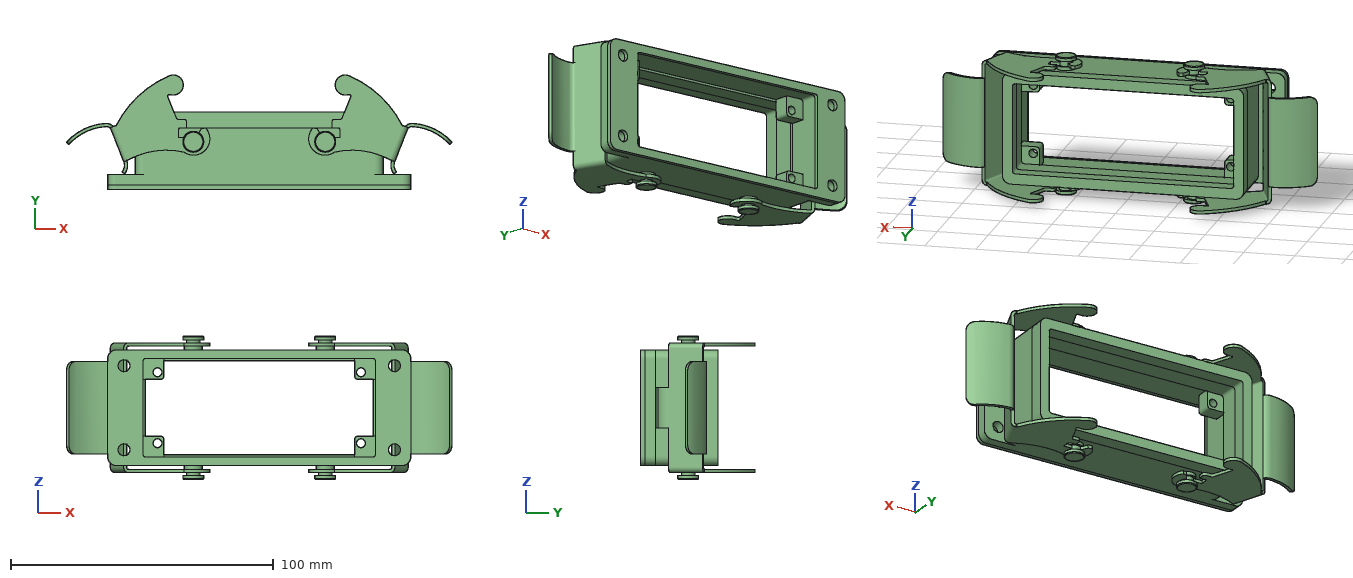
import cadquery as cq
import math


frame_height = 44.0
frame_half = frame_height / 2
flange_length = 115.4
body_length = 94.5
corner_radius = 3.3

gasket_thickness = 1.7
flange_top = 5.8
body_top = 23.5
seal_top = 29.6

wide_opening = (88.5, 37.6)
opening_step = 0.95
narrow_opening = tuple(size - 2 * opening_step for size in wide_opening)
step_depth = 15.2
opening_radius = 1.2

mount_hole_diameter = 4.5
mount_hole_spacing = (103.0, 32.0)

post_size = 8.0
post_face = 8.8
post_radius = 1.3
post_hole_diameter = 3.3
post_hole_spacing = (77.4, 27.0)

pin_x = 25.1
pin_y = 18.2
collar_diameter = 6.9
neck_diameter = 5.17
head_diameter = 8.0
head_thickness = 1.5
head_chamfer = 0.35
pin_tip = 27.25

sheet = 1.3
lever_half_width = 24.7
bend_outer_radius = 2.0
bend_inner_radius = bend_outer_radius - sheet
side_inner = lever_half_width - sheet

back_bottom = (-51.6, 10.6)
back_top = (-56.7, 23.6)
back_length = math.dist(back_bottom, back_top)
back_up = ((back_top[0] - back_bottom[0]) / back_length, (back_top[1] - back_bottom[1]) / back_length)
back_in = (back_up[1], -back_up[0])
back_in_angle = math.degrees(math.atan2(back_in[1], back_in[0]))
along_back_edges = cq.selectors.ParallelDirSelector(cq.Vector(*back_up, 0))

hook_center = (-32.7, 39.8)
hook_radius = 3.85
hook_start = 115
top_edge_middle = (-45.4, 36.2)
bottom_edge_middle = (-38.0, 14.9)
finger_center = (-25.0, 19.3)
finger_radius = 6.2
finger_start = 42
finger_end = -125
finger_angle = 58

shoulder_x = -27.6
shoulder_y = 26.7
hook_foot_x = -31.3
hook_throat = (-35.1, 36.1)
slot_back_x = -30.8
slot_rise = 1.65
finger_reach = 5.9
back_shoulder = (-54.5, 24.3)

rounded_corners = (
    (hook_throat, 0.5),
    ((hook_foot_x, shoulder_y), 1.0),
    ((shoulder_x, shoulder_y), 1.0),
    ((slot_back_x, body_top), 1.0),
)

handle_half_width = 17.6
handle_center = (-57.2, 3.6)
handle_radius = 21.0
handle_tip_x = -73.38
handle_bend_radius = 1.8
handle_corner = 3.5

tab_half_width = 7.75
tab_radius = 3.8
tab_curl = 40.0


def polar(center, radius, degrees):
    angle = math.radians(degrees)
    return (center[0] + radius * math.cos(angle), center[1] + radius * math.sin(angle))


def step_in(point, distance):
    """Move a point square to the back plate, towards the inside of the lever."""
    return (point[0] + distance * back_in[0], point[1] + distance * back_in[1])


def along_back(distance):
    """Point on the outer face of the back plate, measured from its lower edge."""
    return (back_bottom[0] + distance * back_up[0], back_bottom[1] + distance * back_up[1])


def slab(y_low, y_high, length, height, radius):
    """Rounded rectangular block centred on the Y axis."""
    return (
        cq.Workplane("XZ", origin=(0, y_low, 0))
        .rect(length, height)
        .extrude(y_low - y_high)
        .edges("|Y")
        .fillet(radius)
    )


def grid_holes(y_low, y_high, spacing, diameter):
    """Four cylinders along Y at the corners of a rectangle."""
    return (
        cq.Workplane("XZ", origin=(0, y_low, 0))
        .rect(*spacing, forConstruction=True)
        .vertices()
        .circle(diameter / 2)
        .extrude(y_low - y_high)
    )


def make_housing():
    flange = slab(gasket_thickness, flange_top, flange_length, frame_height, corner_radius)
    body = slab(gasket_thickness, body_top, body_length, frame_height, corner_radius)
    housing = flange.union(body)
    housing = housing.cut(slab(gasket_thickness, step_depth, *wide_opening, opening_radius))
    housing = housing.cut(slab(gasket_thickness, body_top, *narrow_opening, opening_radius))
    for side_x in (-1, 1):
        for side_z in (-1, 1):
            housing = housing.union(make_post(side_x, side_z))
    housing = housing.cut(grid_holes(post_face, step_depth, post_hole_spacing, post_hole_diameter))
    return housing.cut(grid_holes(0, flange_top, mount_hole_spacing, mount_hole_diameter))


def make_post(side_x, side_z):
    """Corner post reaching into the wall so that it fills the rounded opening corner."""
    root = opening_radius
    size = post_size + root
    center_x = side_x * (wide_opening[0] / 2 + root - size / 2)
    center_z = side_z * (wide_opening[1] / 2 + root - size / 2)
    inner_edge = ("<" if side_x > 0 else ">") + "X"
    inner_side = ("<" if side_z > 0 else ">") + "Z"
    return (
        cq.Workplane("XY")
        .box(size, step_depth - post_face, size)
        .translate((center_x, (post_face + step_depth) / 2, center_z))
        .faces(inner_edge)
        .edges(inner_side)
        .fillet(post_radius)
    )


def make_mounting_gasket():
    gasket = slab(0, gasket_thickness, flange_length, frame_height, corner_radius)
    gasket = gasket.cut(slab(0, gasket_thickness, *wide_opening, opening_radius))
    return gasket.cut(grid_holes(0, gasket_thickness, mount_hole_spacing, mount_hole_diameter))


def make_upper_seal():
    seal = slab(body_top, seal_top, body_length, frame_height, corner_radius)
    return seal.cut(slab(body_top, seal_top, *narrow_opening, opening_radius))


def make_pin(side_x, side_z):
    """Collar between housing and lever, neck through the lever, chamfered head outside."""
    start = cq.Workplane("XY", origin=(side_x * pin_x, pin_y, 0))
    collar = start.workplane(frame_half).circle(collar_diameter / 2).extrude(side_inner - frame_half)
    neck = start.workplane(frame_half).circle(neck_diameter / 2).extrude(pin_tip - frame_half)
    head = (
        start.workplane(pin_tip - head_thickness)
        .circle(head_diameter / 2)
        .extrude(head_thickness)
        .faces(">Z")
        .chamfer(head_chamfer)
    )
    pin = collar.union(neck).union(head)
    return pin if side_z > 0 else pin.mirror("XY")


def lever_outline():
    """Full-width block with the side plate's shape: hook, slot above the pin and finger around it."""
    pin_hole = (-pin_x, pin_y)
    hole_radius = neck_diameter / 2
    slot_floor = pin_y + slot_rise
    slot_meets_hole = (-pin_x - math.sqrt(hole_radius**2 - slot_rise**2), slot_floor)
    outline = (
        cq.Workplane("XY")
        .moveTo(*back_bottom)
        .lineTo(*back_top)
        .lineTo(*step_in(back_top, bend_outer_radius))
        .lineTo(*back_shoulder)
        .threePointArc(top_edge_middle, polar(hook_center, hook_radius, hook_start))
        .threePointArc(polar(hook_center, hook_radius, 0), polar(hook_center, hook_radius, 270))
        .lineTo(*hook_throat)
        .lineTo(hook_foot_x, shoulder_y)
        .lineTo(shoulder_x, shoulder_y)
        .lineTo(shoulder_x, body_top)
        .lineTo(slot_back_x, body_top)
        .lineTo(slot_back_x, slot_floor)
        .lineTo(*slot_meets_hole)
        .threePointArc(polar(pin_hole, hole_radius, -90), polar(pin_hole, hole_radius, finger_angle))
        .lineTo(*polar(pin_hole, finger_reach, finger_angle))
        .lineTo(*polar(finger_center, finger_radius, finger_start))
        .threePointArc(
            polar(finger_center, finger_radius, (finger_start + finger_end) / 2),
            polar(finger_center, finger_radius, finger_end),
        )
        .threePointArc(bottom_edge_middle, step_in(back_bottom, bend_outer_radius))
        .close()
        .extrude(lever_half_width, both=True)
    )
    for corner, radius in rounded_corners:
        outline = outline.edges(cq.selectors.NearestToPointSelector((*corner, 0))).fillet(radius)
    return outline


def lever_inside():
    """Space between the two side plates, in front of the back plate."""
    margin = 40
    reach = 60
    low = step_in(along_back(-margin), sheet)
    high = step_in(along_back(back_length + margin), sheet)
    return (
        cq.Workplane("XY")
        .polyline([low, high, step_in(high, reach), step_in(low, reach)])
        .close()
        .extrude(side_inner, both=True)
        .edges(along_back_edges)
        .fillet(bend_inner_radius)
    )


def make_handle():
    """Curved grip that bends out of the top edge of the back plate."""
    grip_inner = handle_radius - sheet / 2
    grip_outer = handle_radius + sheet / 2
    start = step_in(back_top, -handle_bend_radius)
    offset = (start[0] - handle_center[0], start[1] - handle_center[1])
    forward = offset[0] * back_up[0] + offset[1] * back_up[1]
    gap = math.hypot(*offset) ** 2 - (grip_inner - handle_bend_radius) ** 2
    shift = -forward + math.sqrt(forward**2 - gap)
    bend_center = (start[0] + shift * back_up[0], start[1] + shift * back_up[1])

    tip = math.degrees(math.acos((handle_tip_x - handle_center[0]) / grip_outer))
    bend_start = math.degrees(
        math.atan2(bend_center[1] - handle_center[1], bend_center[0] - handle_center[0])
    )
    middle = (tip + bend_start) / 2
    bend_middle = (bend_start + back_in_angle) / 2
    bend_outer = handle_bend_radius + sheet
    root = along_back(back_length - sheet)
    return (
        cq.Workplane("XY")
        .moveTo(*polar(handle_center, grip_inner, tip))
        .lineTo(*polar(handle_center, grip_outer, tip))
        .threePointArc(polar(handle_center, grip_outer, middle), polar(handle_center, grip_outer, bend_start))
        .threePointArc(polar(bend_center, bend_outer, bend_middle), polar(bend_center, bend_outer, back_in_angle))
        .lineTo(*step_in(root, sheet))
        .lineTo(*root)
        .lineTo(*polar(bend_center, handle_bend_radius, back_in_angle))
        .threePointArc(
            polar(bend_center, handle_bend_radius, bend_middle),
            polar(bend_center, handle_bend_radius, bend_start),
        )
        .threePointArc(polar(handle_center, grip_inner, middle), polar(handle_center, grip_inner, tip))
        .close()
        .extrude(handle_half_width, both=True)
        .faces("<X")
        .edges("not |Z")
        .fillet(handle_corner)
    )


def make_tab():
    """Spring tab that curls outwards below the back plate."""
    center = step_in(back_bottom, -tab_radius)
    outer = tab_radius + sheet
    middle = (back_in_angle - tab_curl) / 2
    root = along_back(sheet)
    return (
        cq.Workplane("XY")
        .moveTo(*root)
        .lineTo(*back_bottom)
        .threePointArc(polar(center, tab_radius, middle), polar(center, tab_radius, -tab_curl))
        .lineTo(*polar(center, outer, -tab_curl))
        .threePointArc(polar(center, outer, middle), step_in(back_bottom, sheet))
        .lineTo(*step_in(root, sheet))
        .close()
        .extrude(tab_half_width, both=True)
    )


def make_lever(side_x):
    folded = lever_outline().edges(along_back_edges).fillet(bend_outer_radius).cut(lever_inside())
    lever = folded.union(make_handle()).union(make_tab())
    return lever if side_x < 0 else lever.mirror("YZ")


sides = (-1, 1)
housing = make_housing()
mounting_gasket = make_mounting_gasket()
upper_seal = make_upper_seal()
levers = [make_lever(side_x).val() for side_x in sides]
pins = [make_pin(side_x, side_z).val() for side_x in sides for side_z in sides]

result = cq.Compound.makeCompound(
    [housing.val(), mounting_gasket.val(), upper_seal.val(), *levers, *pins]
)